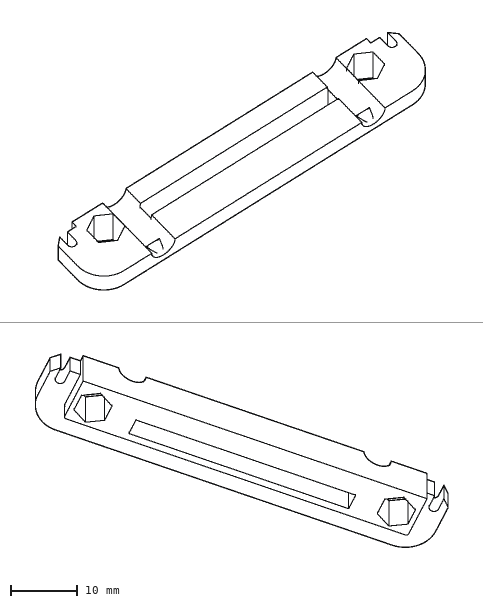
import cadquery as cq
import math

length = 65.0
width = 12.0
height = 6.5
half_length = length / 2

base_width = 7.5
base_length = 56.15
base_height = 3.0
base_corner = 0.4

flange_thickness = height - base_height
flange_left = 1.05
outer_corner_radius = 5.0
tip_chamfer = 1.25
notch_width = 1.5
notch_end_x = 3.85

slot_left = 3.6
slot_right = 6.3
slot_length = 35.9
hex_across_flats = 5.0
hex_x = 4.0
hex_y = 24.75

groove_radius = 2.2
groove_y = 20.0
ramp_start_x = 9.4
ramp_end_x = 11.65
ramp_height = 0.4


def make_base():
    """Block with its two right-hand vertical edges rounded."""
    block = cq.Workplane("XY").box(base_width, base_length, height, centered=(False, True, False))
    return block.edges("|Z and >X").fillet(base_corner)


def make_flange():
    """Upper plate with large rounded right corners and chamfered left corners."""
    plate = (
        cq.Workplane("XY", origin=(flange_left, 0, base_height))
        .box(width - flange_left, length, flange_thickness, centered=(False, True, False))
    )
    return plate.edges("|Z and >X").fillet(outer_corner_radius).edges("|Z and <X").chamfer(tip_chamfer)


def make_notch(side):
    """Round-ended notch entering from the left, just inside the chamfered tip."""
    notch_y = side * (half_length - tip_chamfer - notch_width / 2)
    round_x = notch_end_x - notch_width / 2
    channel = (
        cq.Workplane("XY", origin=(0, notch_y, 0))
        .box(round_x, notch_width, height, centered=(False, True, False))
    )
    round_end = cq.Workplane("XY", origin=(round_x, notch_y, 0)).circle(notch_width / 2).extrude(height)
    return channel.union(round_end)


def make_hex_hole(side):
    """Through hole with corners pointing along X."""
    across_corners = hex_across_flats / math.cos(math.pi / 6)
    return cq.Workplane("XY", origin=(hex_x, side * hex_y, 0)).polygon(6, across_corners).extrude(height)


def make_groove(side):
    """Half-round channel across the full width, with a ramp left standing on its floor."""
    channel = cq.Workplane("YZ", origin=(0, side * groove_y, height)).circle(groove_radius).extrude(width)
    floor_z = height - groove_radius
    ramp = (
        cq.Workplane("XZ", origin=(0, side * groove_y, 0))
        .moveTo(ramp_start_x, floor_z)
        .lineTo(ramp_end_x, floor_z)
        .lineTo(ramp_start_x, floor_z + ramp_height)
        .close()
        .extrude(groove_radius, both=True)
    )
    return channel.cut(ramp)


def make_slot():
    """Long rectangular through slot that just breaks into both grooves."""
    return (
        cq.Workplane("XY", origin=(slot_left, 0, 0))
        .box(slot_right - slot_left, slot_length, height, centered=(False, True, False))
    )


flange = make_flange()
for side in (-1, 1):
    flange = flange.cut(make_notch(side))

result = make_base().union(flange).cut(make_slot())
for side in (-1, 1):
    result = result.cut(make_hex_hole(side)).cut(make_groove(side))